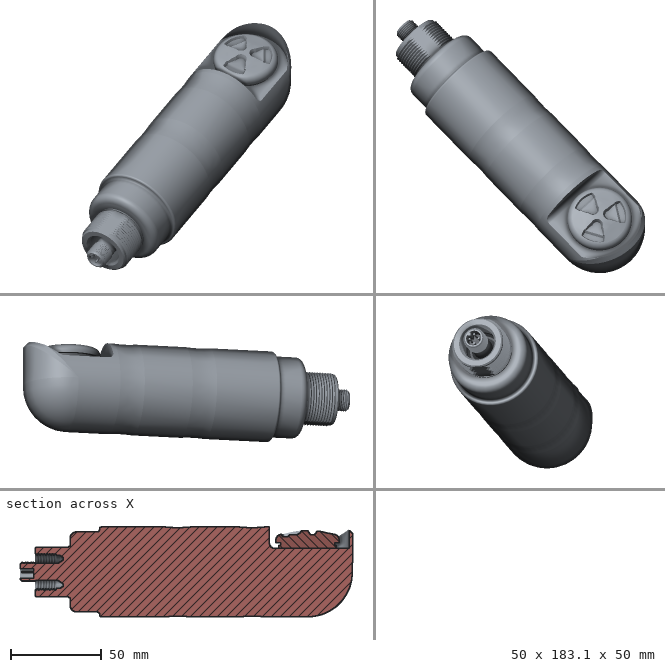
import cadquery as cq
import math

total_length = 183.1
barrel_diameter = 50.0
barrel_radius = barrel_diameter / 2

head_length = 23.6
band_length = 13.7
middle_length = 27.1
rear_length = 36.3
band_sag = 0.4
barrel_edge_round = 1.1

front_band_start = -head_length
front_band_end = front_band_start - band_length
rear_band_start = front_band_end - middle_length
rear_band_end = rear_band_start - band_length
barrel_end = rear_band_end - rear_length

end_cap_radius = 22.3
end_cap_length = 16.3
end_cap_round = 3.8
end_cap_cove = 1.3
end_cap_end = barrel_end - end_cap_length

seat_height = 13.0
seat_back = -20.9
seat_back_fillet = 3.0
wall_inner_radius = 22.9
rim_bevel = 3.7

neck_length = 19.0
neck_crest_radius = 15.0
neck_root_radius = 14.1
neck_pitch = 1.5
neck_turns = 10
neck_runout = 2.0
neck_collar_radius = 14.5
neck_collar_length = 0.7
neck_mouth_chamfer = 0.7
neck_flat_height = 13.7
neck_end = end_cap_end - neck_length

bore_radius = 9.3
bore_thread_depth = 1.0
bore_turns = 7
bore_mouth_radius = 10.5
bore_mouth_depth = 1.3
bore_floor_radius = 8.2
bore_floor_taper = 1.8
bore_depth = 15.4
bore_floor = neck_end + bore_depth

plug_end = barrel_radius - total_length
plug_crest_radius = 6.0
plug_root_radius = 5.5
plug_pitch = 1.0
plug_turns = 8
plug_tip_length = 0.7
plug_tip_radius = 5.0
plug_flange_radius = 7.1
plug_flange_length = 2.7
socket_radius = 4.2
socket_depth = 7.3
pin_count = 4
pin_radius = 0.5
pin_circle_radius = 2.5
pin_length = 6.5
key_size = 1.8
key_inset = 1.6

cap_stem_radius = 16.1
cap_stem_height = 1.8
cap_groove_radius = 15.2
cap_groove_height = 1.0
cap_rim_radius = 17.8
cap_rim_straight = 1.5
cap_dome_radius = 15.2
cap_shoulder_height = 7.7
cap_height = 9.9

pocket_angles = (30.0, 150.0, 270.0)
pocket_tip_start = 3.1
pocket_tip_radius = 2.4
pocket_middle_reach = 8.5
pocket_middle_width = 8.6
pocket_outer_radius = 14.0
pocket_outer_width = 11.5
pocket_wall_taper = 25.0
pocket_floor_height = 7.5
pocket_deep_height = 6.5
pocket_step_radius = 9.7


def revolve_about_y(profile):
    """Solid of revolution about Y from an outline drawn as (radius, y)."""
    return profile.close().revolve(360, (0, 0, 0), (0, 1, 0))


def cylinder_y(radius, y_from, y_to):
    """Solid cylinder about the Y axis running back from y_from to y_to."""
    return cq.Workplane("XZ", origin=(0, y_from, 0)).circle(radius).extrude(y_from - y_to)


def thread_points(start, pitch, turns, root, crest):
    """Zigzag outline of ring threads from start towards -Y."""
    points = []
    for turn in range(turns):
        ring_start = start - turn * pitch
        points.append((root, ring_start))
        points.append((crest, ring_start - pitch / 2))
    points.append((root, start - turns * pitch))
    return points


def make_barrel():
    waist = barrel_radius - band_sag
    edge_middle = barrel_edge_round * math.sqrt(0.5)
    cove_middle = end_cap_cove * (1 - math.sqrt(0.5))
    round_middle = end_cap_round * (1 - math.sqrt(0.5))
    profile = (
        cq.Workplane("XY")
        .moveTo(0, 0)
        .lineTo(barrel_radius, 0)
        .lineTo(barrel_radius, front_band_start)
        .threePointArc((waist, front_band_start - band_length / 2), (barrel_radius, front_band_end))
        .lineTo(barrel_radius, rear_band_start)
        .threePointArc((waist, rear_band_start - band_length / 2), (barrel_radius, rear_band_end))
        .lineTo(barrel_radius, barrel_end + barrel_edge_round)
        .threePointArc(
            (barrel_radius - barrel_edge_round + edge_middle, barrel_end + barrel_edge_round - edge_middle),
            (barrel_radius - barrel_edge_round, barrel_end),
        )
        .lineTo(end_cap_radius + end_cap_cove, barrel_end)
        .threePointArc(
            (end_cap_radius + cove_middle, barrel_end - cove_middle),
            (end_cap_radius, barrel_end - end_cap_cove),
        )
        .lineTo(end_cap_radius, end_cap_end + end_cap_round)
        .threePointArc(
            (end_cap_radius - round_middle, end_cap_end + round_middle),
            (end_cap_radius - end_cap_round, end_cap_end),
        )
        .lineTo(0, end_cap_end)
    )
    return revolve_about_y(profile)


def make_head():
    """Ball underneath, mitred elbow with a bevelled ridge above."""
    ball = cq.Workplane("XY").sphere(barrel_radius)
    along = cylinder_y(barrel_radius, barrel_radius, 0)
    upright = cq.Workplane("XY").circle(barrel_radius).extrude(barrel_radius)
    bevel_reach = (2 * barrel_radius - rim_bevel) * math.sqrt(0.5)
    mitre_plane = cq.Plane(origin=(0, 0, 0), xDir=(1, 0, 0), normal=(0, -1, 1))
    bevel = (
        cq.Workplane(mitre_plane)
        .ellipse(barrel_radius, bevel_reach)
        .extrude(2 * barrel_radius, both=True)
    )
    elbow = along.intersect(upright).intersect(bevel)
    return ball.union(elbow)


def make_seat_notch():
    """Space above the seat: a round well at the head and a notch behind it."""
    well = (
        cq.Workplane("XY", origin=(0, 0, seat_height))
        .circle(wall_inner_radius)
        .extrude(barrel_radius)
    )
    front_half = cq.Workplane("XY").box(
        2 * barrel_diameter, barrel_diameter, barrel_diameter, centered=(True, False, False)
    )
    notch = (
        cq.Workplane("XY", origin=(0, seat_back, seat_height))
        .box(2 * barrel_diameter, -seat_back, barrel_radius, centered=(True, False, False))
        .edges("<Y and <Z")
        .fillet(seat_back_fillet)
    )
    return notch.union(well.intersect(front_half))


def make_neck():
    thread_start = end_cap_end - neck_runout
    profile = (
        cq.Workplane("XY")
        .moveTo(0, end_cap_end)
        .lineTo(neck_root_radius, end_cap_end)
        .polyline(
            thread_points(thread_start, neck_pitch, neck_turns, neck_root_radius, neck_crest_radius),
            includeCurrent=True,
        )
        .lineTo(neck_root_radius, neck_end + neck_mouth_chamfer)
        .lineTo(neck_root_radius - neck_mouth_chamfer, neck_end)
        .lineTo(0, neck_end)
    )
    flats = cq.Workplane("XY", origin=(0, (end_cap_end + neck_end) / 2, 0)).box(
        barrel_diameter, neck_length, 2 * neck_flat_height
    )
    collar = cylinder_y(neck_collar_radius, end_cap_end, end_cap_end - neck_collar_length)
    return revolve_about_y(profile).intersect(flats).union(collar)


def make_bore():
    thread_start = neck_end + bore_mouth_depth + bore_turns * neck_pitch
    profile = (
        cq.Workplane("XY")
        .moveTo(0, bore_floor)
        .lineTo(bore_floor_radius, bore_floor)
        .lineTo(bore_radius, bore_floor - bore_floor_taper)
        .polyline(
            thread_points(
                thread_start, neck_pitch, bore_turns, bore_radius, bore_radius + bore_thread_depth
            ),
            includeCurrent=True,
        )
        .lineTo(bore_mouth_radius, neck_end)
        .lineTo(0, neck_end)
    )
    return revolve_about_y(profile)


def make_plug():
    thread_start = plug_end + plug_tip_length + plug_turns * plug_pitch
    flange_front = bore_floor - plug_flange_length
    profile = (
        cq.Workplane("XY")
        .moveTo(0, bore_floor)
        .lineTo(plug_flange_radius, bore_floor)
        .lineTo(plug_root_radius, flange_front)
        .polyline(
            thread_points(thread_start, plug_pitch, plug_turns, plug_root_radius, plug_crest_radius),
            includeCurrent=True,
        )
        .lineTo(plug_tip_radius, plug_end)
        .lineTo(0, plug_end)
    )
    return revolve_about_y(profile)


def make_socket():
    """Hollow of the plug, leaving its locating key and contact pins standing."""
    socket_floor = plug_end + socket_depth
    hollow = cylinder_y(socket_radius, socket_floor, plug_end)
    key = cq.Workplane("XY", origin=(-key_inset - key_size, plug_end, key_inset)).box(
        key_size, socket_depth, key_size, centered=False
    )
    pins = (
        cq.Workplane("XZ", origin=(0, socket_floor, 0))
        .polarArray(pin_circle_radius, 0, 360, pin_count)
        .circle(pin_radius)
        .extrude(pin_length)
    )
    return hollow.cut(key).cut(pins)


def make_housing():
    shell = make_barrel().union(make_head()).cut(make_seat_notch())
    threaded_neck = make_neck().cut(make_bore())
    plug = make_plug().cut(make_socket())
    return shell.union(threaded_neck).union(plug)


def make_cap_blank():
    groove_base = seat_height + cap_stem_height
    rim_base = groove_base + cap_groove_height
    rim_top = rim_base + cap_rim_straight
    shoulder = seat_height + cap_shoulder_height
    crown = seat_height + cap_height
    crown_rise = crown - shoulder
    dome_sphere_radius = (cap_dome_radius**2 + crown_rise**2) / (2 * crown_rise)
    half_plan = cap_dome_radius / 2
    half_drop = dome_sphere_radius - math.sqrt(dome_sphere_radius**2 - half_plan**2)
    return (
        cq.Workplane("XZ")
        .moveTo(0, seat_height)
        .lineTo(cap_stem_radius, seat_height)
        .lineTo(cap_stem_radius, groove_base)
        .lineTo(cap_groove_radius, groove_base)
        .lineTo(cap_groove_radius, rim_base)
        .lineTo(cap_rim_radius, rim_base)
        .lineTo(cap_rim_radius, rim_top)
        .tangentArcPoint((cap_dome_radius, shoulder), relative=False)
        .threePointArc((half_plan, crown - half_drop), (0, crown))
        .close()
        .revolve(360, (0, 0, 0), (0, 1, 0))
    )


def make_fan(floor_height):
    """Fan pocket pointing along +X, with walls that open upwards from its floor."""
    tip_x = pocket_tip_start + pocket_tip_radius
    middle_y = pocket_middle_width / 2
    outer_y = pocket_outer_width / 2
    outer_x = math.sqrt(pocket_outer_radius**2 - outer_y**2)
    return (
        cq.Workplane("XY", origin=(0, 0, seat_height + floor_height))
        .moveTo(tip_x, pocket_tip_radius)
        .threePointArc((pocket_tip_start, 0), (tip_x, -pocket_tip_radius))
        .threePointArc((pocket_middle_reach, -middle_y), (outer_x, -outer_y))
        .threePointArc((pocket_outer_radius, 0), (outer_x, outer_y))
        .threePointArc((pocket_middle_reach, middle_y), (tip_x, pocket_tip_radius))
        .close()
        .extrude(cap_height - floor_height, taper=-pocket_wall_taper)
    )


def make_pocket():
    """Shallow fan whose floor ramps down at 45 degrees to a deeper level towards the rim."""
    step_drop = pocket_floor_height - pocket_deep_height
    floor_z = seat_height + pocket_floor_height
    deep_z = seat_height + pocket_deep_height
    outer_part = (
        cq.Workplane("XZ")
        .moveTo(pocket_step_radius, floor_z)
        .lineTo(pocket_step_radius + step_drop, deep_z)
        .lineTo(barrel_radius, deep_z)
        .lineTo(barrel_radius, barrel_radius)
        .lineTo(pocket_step_radius, barrel_radius)
        .close()
        .extrude(barrel_radius, both=True)
    )
    return make_fan(pocket_floor_height).union(make_fan(pocket_deep_height).intersect(outer_part))


def make_sounder_cap():
    cap = make_cap_blank()
    pocket = make_pocket()
    for angle in pocket_angles:
        cap = cap.cut(pocket.rotate((0, 0, 0), (0, 0, 1), angle))
    return cap


housing = make_housing()
sounder_cap = make_sounder_cap()
result = cq.Compound.makeCompound([housing.solids().val(), sounder_cap.solids().val()])